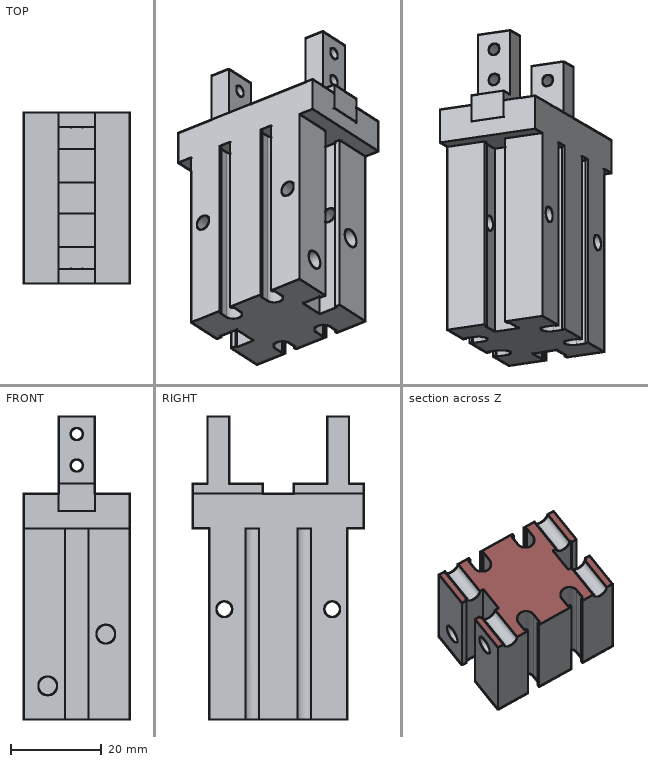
import cadquery as cq

width = 23.6
column_depth = 30.7
column_height = 42.45
flange_depth = 38.0
flange_top = 50.15

channel_width = 8.0
channel_floor = 46.3

slot_mouth = 2.95
slot_lip = 0.7
slot_width = 3.9
slot_depth = 5.0
slot_offset = 5.8

groove_mouth = 5.1
groove_lip = 1.3
groove_width = 6.0
groove_depth = 6.0

mount_diameter = 3.4
mount_offset = 12.0
mount_height = 24.5

port_diameter = 4.2
port_depth = 5.05
port_offset = 6.45
lower_port_height = 7.5
upper_port_height = 19.0

jaw_top = 67.3
foot_top = 52.35
foot_inner = 3.4
foot_outer = flange_depth / 2
finger_inner = 10.85
finger_outer = 15.75
finger_hole_diameter = 2.6
finger_hole_heights = (56.4, 63.4)


def sensor_slot(side, y):
    """Slot cutter open on the X face given by side: narrow mouth, wider round-bottomed cavity."""
    face = side * width / 2
    mouth = cq.Workplane("XY").center(face, y).rect(2 * slot_lip, slot_mouth).extrude(column_height)

    radius = slot_width / 2
    lip_back = side * (width / 2 - slot_lip)
    arc_start = side * (width / 2 - slot_depth + radius)
    arc_middle = side * (width / 2 - slot_depth)
    cavity = (
        cq.Workplane("XY")
        .moveTo(lip_back, y - radius)
        .lineTo(arc_start, y - radius)
        .threePointArc((arc_middle, y), (arc_start, y + radius))
        .lineTo(lip_back, y + radius)
        .close()
        .extrude(column_height)
    )
    return mouth.union(cavity)


def end_groove(side):
    """T-groove cutter open on the Y face of the column given by side."""
    face = side * column_depth / 2
    mouth = cq.Workplane("XY").center(0, face).rect(groove_mouth, 2 * groove_lip).extrude(column_height)

    cavity_depth = groove_depth - groove_lip
    cavity_middle = side * (column_depth / 2 - groove_lip - cavity_depth / 2)
    cavity = (
        cq.Workplane("XY")
        .center(0, cavity_middle)
        .rect(groove_width, cavity_depth)
        .extrude(column_height)
    )
    return mouth.union(cavity)


def make_housing():
    column = cq.Workplane("XY").rect(width, column_depth).extrude(column_height)
    flange = (
        cq.Workplane("XY", origin=(0, 0, column_height))
        .rect(width, flange_depth)
        .extrude(flange_top - column_height)
    )
    body = column.union(flange)

    channel = (
        cq.Workplane("XY", origin=(0, 0, channel_floor))
        .rect(channel_width, flange_depth)
        .extrude(flange_top - channel_floor)
    )
    body = body.cut(channel)

    for side in (-1, 1):
        body = body.cut(end_groove(side))
        for y in (-slot_offset, slot_offset):
            body = body.cut(sensor_slot(side, y))

    mount_holes = (
        cq.Workplane("YZ", origin=(-width / 2, 0, 0))
        .pushPoints([(-mount_offset, mount_height), (mount_offset, mount_height)])
        .circle(mount_diameter / 2)
        .extrude(width)
    )
    ports = (
        cq.Workplane("XZ", origin=(0, -column_depth / 2, 0))
        .pushPoints([(-port_offset, lower_port_height), (port_offset, upper_port_height)])
        .circle(port_diameter / 2)
        .extrude(-port_depth)
    )
    return body.cut(mount_holes).cut(ports)


def make_jaw(side):
    """Jaw on the Y side given by side: foot and finger profile extruded along X."""
    profile = [
        (foot_inner, channel_floor),
        (foot_outer, channel_floor),
        (foot_outer, foot_top),
        (finger_outer, foot_top),
        (finger_outer, jaw_top),
        (finger_inner, jaw_top),
        (finger_inner, foot_top),
        (foot_inner, foot_top),
    ]
    jaw = (
        cq.Workplane("YZ", origin=(-channel_width / 2, 0, 0))
        .polyline([(side * y, z) for y, z in profile])
        .close()
        .extrude(channel_width)
    )
    holes = (
        cq.Workplane("XZ")
        .pushPoints([(0, z) for z in finger_hole_heights])
        .circle(finger_hole_diameter / 2)
        .extrude(-side * foot_outer)
    )
    return jaw.cut(holes)


housing = make_housing()
jaws = [make_jaw(side) for side in (-1, 1)]

result = cq.Compound.makeCompound([housing.val(), *[jaw.val() for jaw in jaws]])